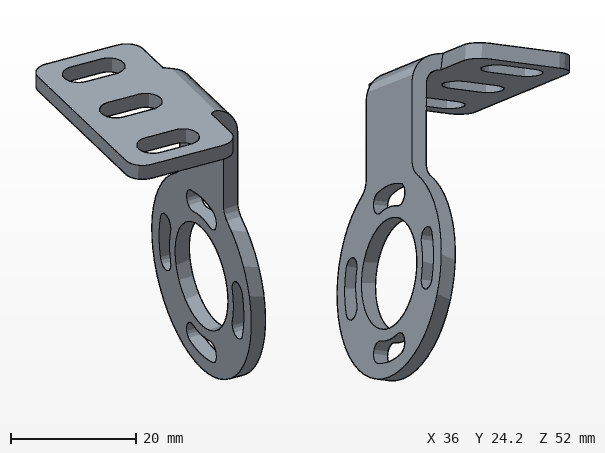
import cadquery as cq
import math

thickness = 2.6
bend_inner = 2.6
bend_outer = bend_inner + thickness

total_height = 52.0
ring_radius = 17.0
bore_radius = 9.0
neck_width = 15.0
neck_fillet = 3.0

arc_slot_radius = 12.7
arc_slot_width = 3.6
arc_slot_half_angle = 15.0
arc_slot_count = 4

plate_width = 36.0
total_depth = 24.2
plate_corner = 3.0
plate_slot_length = 10.6
plate_slot_width = 5.2
plate_slot_pitch = 12.7
plate_slot_front = 8.85

flare_angle = 22.0
flare_radius = 2.7
flare_stock = 1.05

top_z = total_height - ring_radius
bend_z = top_z - bend_outer
bend_y = -bend_outer
half_neck = neck_width / 2


def back_face():
    """Workplane with local x = X and y = Z, extruding from the back face to -Y."""
    return cq.Workplane("XZ")


def polar(radius, angle):
    a = math.radians(angle)
    return (radius * math.cos(a), radius * math.sin(a))


def neck():
    """Upright strip whose sides blend tangentially into the ring."""
    fillet_x = half_neck + neck_fillet
    fillet_z = math.sqrt((ring_radius + neck_fillet) ** 2 - fillet_x**2)
    to_ring = ring_radius / (ring_radius + neck_fillet)
    touch = (fillet_x * to_ring, fillet_z * to_ring)
    ring_angle = 180 + math.degrees(math.atan2(fillet_z, fillet_x))
    offset = polar(neck_fillet, (180 + ring_angle) / 2)
    mid = (fillet_x + offset[0], fillet_z + offset[1])
    return (
        back_face()
        .moveTo(0, 0)
        .lineTo(*touch)
        .threePointArc(mid, (half_neck, fillet_z))
        .lineTo(half_neck, bend_z)
        .lineTo(-half_neck, bend_z)
        .lineTo(-half_neck, fillet_z)
        .threePointArc((-mid[0], mid[1]), (-touch[0], touch[1]))
        .close()
        .extrude(thickness)
    )


def arc_slot():
    """Cutter for one curved slot, centred on +X of the ring."""
    half_width = arc_slot_width / 2
    outer = arc_slot_radius + half_width
    inner = arc_slot_radius - half_width
    a = arc_slot_half_angle
    return (
        back_face()
        .moveTo(*polar(outer, -a))
        .threePointArc((outer, 0), polar(outer, a))
        .tangentArcPoint(polar(inner, a), relative=False)
        .threePointArc((inner, 0), polar(inner, -a))
        .tangentArcPoint(polar(outer, -a), relative=False)
        .close()
        .extrude(thickness)
    )


def ring():
    body = back_face().circle(ring_radius).extrude(thickness).union(neck())
    body = body.cut(back_face().circle(bore_radius).extrude(thickness))
    for i in range(arc_slot_count):
        turn = i * 360 / arc_slot_count
        body = body.cut(arc_slot().rotate((0, 0, 0), (0, 1, 0), turn))
    return body


def bend_sector(start, end, width):
    """Part of the bend; angles run from the neck (0) to the plate (90)."""

    def at(radius, angle):
        y, z = polar(radius, angle)
        return (bend_y + y, bend_z + z)

    middle = (start + end) / 2
    return (
        cq.Workplane("YZ")
        .moveTo(*at(bend_inner, start))
        .lineTo(*at(bend_outer, start))
        .threePointArc(at(bend_outer, middle), at(bend_outer, end))
        .lineTo(*at(bend_inner, end))
        .threePointArc(at(bend_inner, middle), at(bend_inner, start))
        .close()
        .extrude(width / 2, both=True)
    )


def bend():
    """Bend whose last stretch flares out along cylinders with radial axes."""
    start = 90 - flare_angle
    flare = bend_sector(start, 90, neck_width + 2 * flare_stock)
    y, z = polar(1, start)
    for side in (-1, 1):
        axis_point = cq.Vector(side * (half_neck + flare_radius), bend_y, bend_z)
        cutter = cq.Solid.makeCylinder(flare_radius, 2 * bend_outer, axis_point, cq.Vector(0, y, z))
        flare = flare.cut(cq.Workplane(cutter))
    return bend_sector(0, 90, neck_width).union(flare)


def plate():
    depth = total_depth - bend_outer
    slot_y = plate_slot_front - depth / 2
    return (
        cq.Workplane("XY", origin=(0, bend_y - depth / 2, top_z - thickness))
        .rect(plate_width, depth)
        .extrude(thickness)
        .edges("|Z")
        .fillet(plate_corner)
        .faces("<Z")
        .workplane(origin=(0, bend_y - depth / 2, top_z - thickness), invert=True)
        .pushPoints([(i * plate_slot_pitch, slot_y) for i in (-1, 0, 1)])
        .slot2D(plate_slot_length, plate_slot_width, 90)
        .cutBlind(thickness)
    )


result = ring().union(bend()).union(plate())